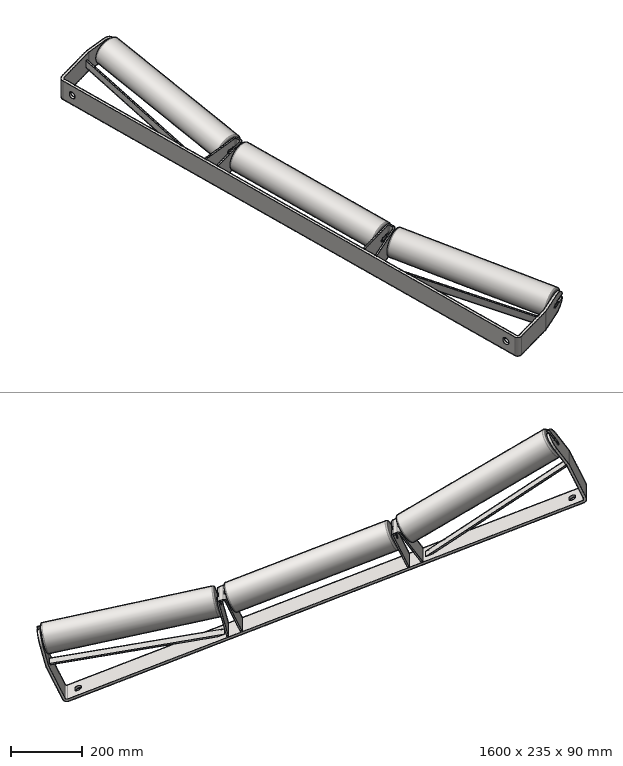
import cadquery as cq
import math

FRAME_LENGTH = 1600.0
FRAME_HEIGHT = 80.0
FRAME_SHEET = 8.0
FRAME_BEND_RADIUS = 13.0
TONGUE_BEND_Y = 128.0
TONGUE_TIP_DROP = 3.0
TILT = 10.0
OVERALL_DEPTH = 235.0

ROLLER_LENGTH = 500.0
ROLLER_DIAMETER = 90.0
ROLLER_EDGE_RADIUS = 5.0
END_GAP = 3.0
CENTRE_AXIS_Y = 100.0

SHAFT_DIAMETER = 20.0
SHAFT_FLAT_WIDTH = 15.0

BRACKET_SHEET = 5.0
BRACKET_TOP_Y = 125.0
BRACKET_BEND_RADIUS = 8.0

STRUT_TOP_Y = 120.0
STRUT_SLOPE = 13.0
STRUT_SHEET = 5.0
STRUT_HEIGHT = 30.0

MOUNT_HOLE_WIDTH = 20.0
MOUNT_HOLE_HEIGHT = 25.0
MOUNT_HOLE_INSET = 45.0

SIDES = (1, -1)

HALF_LENGTH = FRAME_LENGTH / 2
HALF_ROLLER = ROLLER_LENGTH / 2
ROLLER_RADIUS = ROLLER_DIAMETER / 2
SHAFT_RADIUS = SHAFT_DIAMETER / 2
HALF_FLAT_WIDTH = SHAFT_FLAT_WIDTH / 2
FLAT_HALF_LENGTH = math.sqrt(SHAFT_RADIUS**2 - HALF_FLAT_WIDTH**2)
SLOT_DEPTH = FLAT_HALF_LENGTH + HALF_FLAT_WIDTH
SLOT_REACH = FRAME_HEIGHT
COS_TILT = math.cos(math.radians(TILT))
SIN_TILT = math.sin(math.radians(TILT))
TAN_TILT = math.tan(math.radians(TILT))
TAN_STRUT = math.tan(math.radians(STRUT_SLOPE))

FRAME_STUB = END_GAP + FRAME_SHEET
BRACKET_STUB = END_GAP + BRACKET_SHEET

RIM_ARC_RADIUS = ROLLER_RADIUS - ROLLER_EDGE_RADIUS
RAISED_END_Y = (OVERALL_DEPTH - ROLLER_EDGE_RADIUS - RIM_ARC_RADIUS * COS_TILT
                + ROLLER_EDGE_RADIUS * SIN_TILT)
SHAFT_END_Y = RAISED_END_Y + FRAME_STUB * SIN_TILT
SHAFT_END_X = HALF_LENGTH - (SHAFT_END_Y - TONGUE_BEND_Y) * TAN_TILT
SIDE_ROLLER_X = SHAFT_END_X - (HALF_ROLLER + FRAME_STUB) * COS_TILT
SIDE_ROLLER_Y = SHAFT_END_Y - (HALF_ROLLER + FRAME_STUB) * SIN_TILT


def on_side(body, side):
    """A body modelled on the +X side, or its mirror image on the -X side."""
    return body if side > 0 else body.mirror("YZ")


def at_side_roller(body):
    """Move a body from the roller's own axes to the tilted +X side roller."""
    tilted = body.rotate((0, 0, 0), (0, 0, 1), TILT)
    return tilted.translate((SIDE_ROLLER_X, SIDE_ROLLER_Y, 0))


def at_centre_roller(body):
    """Move a body from the roller's own axes to the centre roller."""
    return body.translate((0, CENTRE_AXIS_Y, 0))


def bent_sheet(outer_points, sheet, bend_radius):
    """Sheet FRAME_HEIGHT wide whose outer face follows left-turning points."""
    headings = []
    for (x0, y0), (x1, y1) in zip(outer_points, outer_points[1:]):
        headings.append(math.atan2(y1 - y0, x1 - x0))

    arrivals = [headings[0]] + headings
    departures = headings + [headings[-1]]
    inner_points = []
    for (x, y), arrival, departure in zip(outer_points, arrivals, departures):
        inward = (arrival + departure) / 2 + math.pi / 2
        mitre = sheet / math.cos((departure - arrival) / 2)
        inner_points.append((x + mitre * math.cos(inward), y + mitre * math.sin(inward)))

    blank = (
        cq.Workplane("XY")
        .polyline(outer_points + inner_points[::-1])
        .close()
        .extrude(FRAME_HEIGHT / 2, both=True)
    )
    for points, radius in ((outer_points, bend_radius), (inner_points, bend_radius - sheet)):
        for x, y in points[1:-1]:
            bend_edge = cq.selectors.NearestToPointSelector((x, y, 0))
            blank = blank.edges("|Z").edges(bend_edge).fillet(radius)
    return blank


def shaft_slot(face_x, sheet):
    """Cutter for a round-bottomed slot open upward, from face_x outward along +X."""
    return (
        cq.Workplane("YZ", origin=(face_x, 0, 0))
        .moveTo(SLOT_REACH, -HALF_FLAT_WIDTH)
        .lineTo(-FLAT_HALF_LENGTH, -HALF_FLAT_WIDTH)
        .threePointArc((-SLOT_DEPTH, 0), (-FLAT_HALF_LENGTH, HALF_FLAT_WIDTH))
        .lineTo(SLOT_REACH, HALF_FLAT_WIDTH)
        .close()
        .extrude(sheet)
    )


def make_frame():
    tip_centre_x = SHAFT_END_X + TONGUE_TIP_DROP * SIN_TILT
    tip_centre_y = SHAFT_END_Y - TONGUE_TIP_DROP * COS_TILT
    right_half = [(HALF_LENGTH, 0), (HALF_LENGTH, TONGUE_BEND_Y), (tip_centre_x, tip_centre_y)]
    left_half = [(-x, y) for x, y in reversed(right_half)]
    frame = bent_sheet(left_half + right_half, FRAME_SHEET, FRAME_BEND_RADIUS)

    tongue_face_x = HALF_ROLLER + END_GAP
    round_tip = (
        cq.Workplane("YZ", origin=(tongue_face_x, 0, 0))
        .center(-TONGUE_TIP_DROP, 0)
        .circle(FRAME_HEIGHT / 2)
        .extrude(FRAME_SHEET)
    )
    for side in SIDES:
        frame = frame.union(on_side(at_side_roller(round_tip), side))
        slot = at_side_roller(shaft_slot(tongue_face_x, FRAME_SHEET))
        frame = frame.cut(on_side(slot, side))

    hole_x = HALF_LENGTH - MOUNT_HOLE_INSET
    mount_holes = (
        cq.Workplane("XZ")
        .pushPoints([(side * hole_x, 0) for side in SIDES])
        .slot2D(MOUNT_HOLE_HEIGHT, MOUNT_HOLE_WIDTH, 90)
        .extrude(-FRAME_SHEET)
    )
    return frame.cut(mount_holes)


def make_roller(inner_stub, outer_stub):
    barrel = (
        cq.Workplane("YZ", origin=(-HALF_ROLLER, 0, 0))
        .circle(ROLLER_RADIUS)
        .extrude(ROLLER_LENGTH)
        .edges()
        .fillet(ROLLER_EDGE_RADIUS)
    )
    shaft = (
        cq.Workplane("YZ", origin=(-HALF_ROLLER - inner_stub, 0, 0))
        .moveTo(-FLAT_HALF_LENGTH, -HALF_FLAT_WIDTH)
        .lineTo(FLAT_HALF_LENGTH, -HALF_FLAT_WIDTH)
        .threePointArc((SHAFT_RADIUS, 0), (FLAT_HALF_LENGTH, HALF_FLAT_WIDTH))
        .lineTo(-FLAT_HALF_LENGTH, HALF_FLAT_WIDTH)
        .threePointArc((-SHAFT_RADIUS, 0), (-FLAT_HALF_LENGTH, -HALF_FLAT_WIDTH))
        .close()
        .extrude(inner_stub + ROLLER_LENGTH + outer_stub)
    )
    return barrel.union(shaft)


def make_bracket(side):
    reach = HALF_ROLLER + END_GAP
    leaning_foot_x = SIDE_ROLLER_X - reach * COS_TILT + (SIDE_ROLLER_Y - reach * SIN_TILT) * TAN_TILT
    leaning_top_x = leaning_foot_x - BRACKET_TOP_Y * TAN_TILT
    outer_points = [
        (leaning_foot_x, 0),
        (leaning_top_x, BRACKET_TOP_Y),
        (reach, BRACKET_TOP_Y),
        (reach, 0),
    ]
    bracket = bent_sheet(outer_points, BRACKET_SHEET, BRACKET_BEND_RADIUS)

    base = cq.Workplane("XY").box(FRAME_LENGTH, 2 * FRAME_SHEET, FRAME_HEIGHT)
    bracket = bracket.cut(base)

    centre_slot = at_centre_roller(shaft_slot(reach, BRACKET_SHEET))
    side_slot = at_side_roller(shaft_slot(-reach - BRACKET_SHEET, BRACKET_SHEET))
    return on_side(bracket.cut(centre_slot).cut(side_slot), side)


def make_strut(side):
    leg_x = HALF_LENGTH - FRAME_SHEET
    thickness_y = STRUT_SHEET / math.cos(math.radians(STRUT_SLOPE))
    upper_foot_x = leg_x - (STRUT_TOP_Y - FRAME_SHEET) / TAN_STRUT
    lower_foot_x = upper_foot_x + thickness_y / TAN_STRUT
    strut = (
        cq.Workplane("XY")
        .polyline([
            (leg_x, STRUT_TOP_Y),
            (upper_foot_x, FRAME_SHEET),
            (lower_foot_x, FRAME_SHEET),
            (leg_x, STRUT_TOP_Y - thickness_y),
        ])
        .close()
        .extrude(STRUT_HEIGHT / 2, both=True)
    )
    return on_side(strut, side)


frame = make_frame()
centre_roller = at_centre_roller(make_roller(BRACKET_STUB, BRACKET_STUB))
side_rollers = []
brackets = []
struts = []
for side in SIDES:
    side_rollers.append(on_side(at_side_roller(make_roller(BRACKET_STUB, FRAME_STUB)), side))
    brackets.append(make_bracket(side))
    struts.append(make_strut(side))

bodies = [frame, centre_roller, *side_rollers, *brackets, *struts]
result = cq.Compound.makeCompound([body.val() for body in bodies])